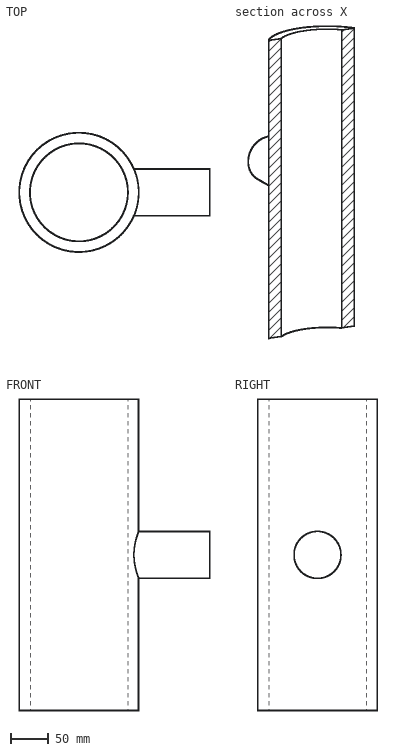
import cadquery as cq

pipe_length = 417.0
pipe_diameter = 160.0
wall_thickness = 14.5
bore_diameter = pipe_diameter - 2 * wall_thickness

branch_diameter = 63.0
overall_width = 255.0
branch_reach = overall_width - pipe_diameter / 2


def upright_cylinder(diameter):
    """Full-length cylinder on the pipe axis, centred on the origin."""
    return cq.Workplane("XY").circle(diameter / 2).extrude(pipe_length / 2, both=True)


def side_branch():
    """Branch cylinder running from the pipe axis to its outer end."""
    return cq.Workplane("YZ").circle(branch_diameter / 2).extrude(branch_reach)


result = upright_cylinder(pipe_diameter).union(side_branch()).cut(upright_cylinder(bore_diameter))